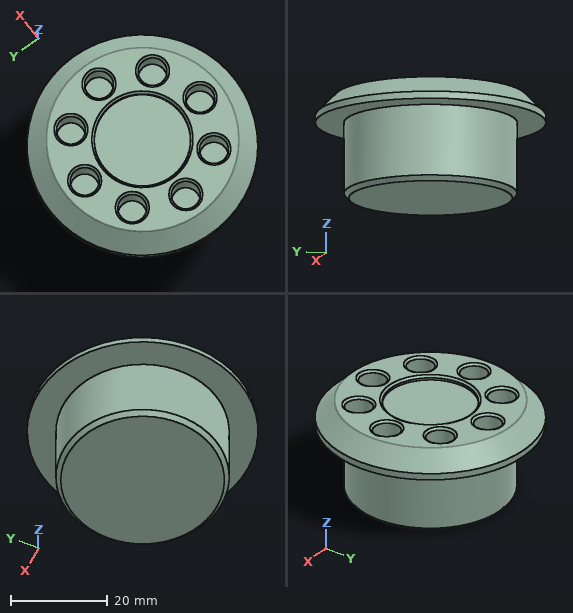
import cadquery as cq

body_diameter = 36.0
body_height = 16.0
body_chamfer = 1.0

head_diameter = 48.0
rim_height = 1.5
cone_height = 4.0
face_diameter = head_diameter - 2 * cone_height
face_edge_fillet = 0.2
face_z = body_height + rim_height + cone_height

mouth_chamfer = 0.5

recess_diameter = 20.0
recess_depth = 1.0

hole_count = 8
hole_diameter = 6.0
hole_depth = 5.0
hole_circle_diameter = 30.0


def make_blank():
    """Chamfered plug body with the conical head on top."""
    body = cq.Workplane("XY").circle(body_diameter / 2).extrude(body_height)
    body = body.faces("<Z").edges().chamfer(body_chamfer)
    rim = cq.Workplane("XY").workplane(offset=body_height).circle(head_diameter / 2).extrude(rim_height)
    cone = cq.Workplane(
        cq.Solid.makeCone(
            head_diameter / 2,
            face_diameter / 2,
            cone_height,
            pnt=cq.Vector(0, 0, body_height + rim_height),
        )
    )
    cone = cone.faces(">Z").edges().fillet(face_edge_fillet)
    return body.union(rim).union(cone)


def chamfered_pocket(diameter, depth):
    """Cutter for a flat-bottomed round pocket with a chamfered mouth, mouth at z = 0."""
    radius = diameter / 2
    mouth_radius = radius + mouth_chamfer
    return (
        cq.Workplane("XZ")
        .moveTo(0, 0)
        .lineTo(mouth_radius, 0)
        .lineTo(radius, -mouth_chamfer)
        .lineTo(radius, -depth)
        .lineTo(0, -depth)
        .close()
        .revolve(360, (0, 0, 0), (0, 1, 0))
    )


def cut_recess(part):
    cutter = chamfered_pocket(recess_diameter, recess_depth)
    return part.cut(cutter.translate((0, 0, face_z)))


def cut_hole_ring(part):
    cutter = chamfered_pocket(hole_diameter, hole_depth).translate((hole_circle_diameter / 2, 0, face_z))
    for index in range(hole_count):
        angle = index * 360 / hole_count
        part = part.cut(cutter.rotate((0, 0, 0), (0, 0, 1), angle))
    return part


result = cut_hole_ring(cut_recess(make_blank()))